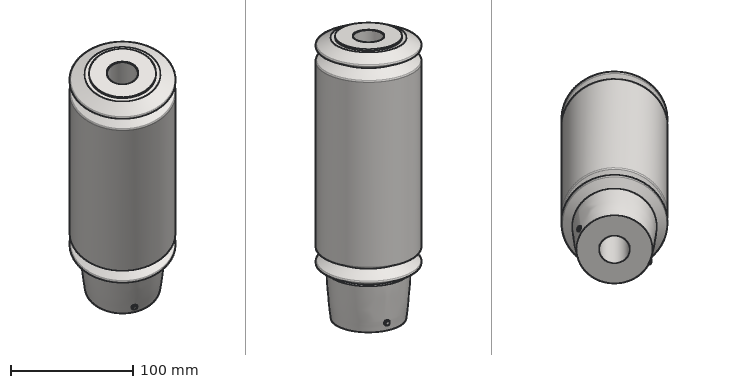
import cadquery as cq
import math

total_height = 250.7
body_diameter = 87.0
neck_diameter = 62.2
bore_diameter = 25.0
bore_chamfer = 0.5

pad_diameter = 55.0
pad_height = 1.5

flank_height = 7.0
rim_radius = 1.5

taper_height = 42.6
taper_top_diameter = 69.2
taper_middle_diameter = 66.7
taper_bottom_diameter = 62.2

pin_diameter = 5.0
pin_z = 7.8
pin_span = 67.5
pin_chamfer = 0.8


def double_cone(bottom_z, top_z):
    """Solid of revolution with conical ends and a rim rounded above and below."""
    neck = neck_diameter / 2
    rim = body_diameter / 2
    arc_center = rim - rim_radius

    run = arc_center - neck
    distance = math.hypot(run, flank_height)
    normal_angle = math.pi - math.acos(rim_radius / distance) - math.atan2(flank_height, run)
    tangent_r = arc_center + rim_radius * math.cos(normal_angle)
    tangent_rise = rim_radius * math.sin(normal_angle)
    middle_r = arc_center + rim_radius * math.cos(normal_angle / 2)
    middle_rise = rim_radius * math.sin(normal_angle / 2)

    lower_z = bottom_z + flank_height
    upper_z = top_z - flank_height
    profile = (
        cq.Workplane("XZ")
        .moveTo(0, bottom_z)
        .lineTo(neck, bottom_z)
        .lineTo(tangent_r, lower_z - tangent_rise)
        .threePointArc((middle_r, lower_z - middle_rise), (rim, lower_z))
    )
    if upper_z - lower_z > rim_radius:
        profile = profile.lineTo(rim, upper_z)
    return (
        profile.threePointArc((middle_r, upper_z + middle_rise), (tangent_r, upper_z + tangent_rise))
        .lineTo(neck, top_z)
        .lineTo(0, top_z)
        .close()
        .revolve(360, (0, 0, 0), (0, 1, 0))
    )


def taper():
    """Lower plug whose side bulges slightly outward."""
    return (
        cq.Workplane("XZ")
        .lineTo(taper_bottom_diameter / 2, 0)
        .threePointArc(
            (taper_middle_diameter / 2, taper_height / 2),
            (taper_top_diameter / 2, taper_height),
        )
        .lineTo(0, taper_height)
        .close()
        .revolve(360, (0, 0, 0), (0, 1, 0))
    )


def side_pins():
    """One pin along X that shows at both sides of the taper."""
    return (
        cq.Workplane("YZ", origin=(-pin_span / 2, 0, pin_z))
        .circle(pin_diameter / 2)
        .extrude(pin_span)
        .faces("<X or >X")
        .chamfer(pin_chamfer)
    )


def bore():
    """Through bore with a chamfer at its upper mouth."""
    hole = cq.Workplane("XY").circle(bore_diameter / 2).extrude(total_height)
    mouth = (
        cq.Workplane("XY", origin=(0, 0, total_height))
        .circle(bore_diameter / 2 + bore_chamfer)
        .extrude(-bore_chamfer, taper=45)
    )
    return hole.union(mouth)


pad_z = total_height - pad_height
flange_height = 2 * flank_height
upper_groove_z = pad_z - flange_height
lower_groove_z = taper_height + flange_height

pad = cq.Workplane("XY", origin=(0, 0, pad_z)).circle(pad_diameter / 2).extrude(pad_height)

result = (
    taper()
    .union(double_cone(taper_height, lower_groove_z))
    .union(double_cone(lower_groove_z, upper_groove_z))
    .union(double_cone(upper_groove_z, pad_z))
    .union(pad)
    .union(side_pins())
    .cut(bore())
)